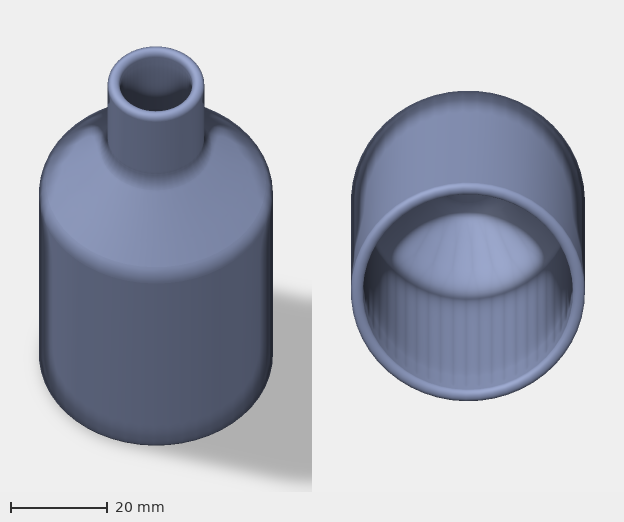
import cadquery as cq
import math

total_height = 89.1
body_radius = 48.3 / 2
neck_radius = 20.0 / 2
wall = 2.5
bend_radius = 5.0
shoulder_start = 52.9
cone_angle = math.radians(45)

rim_radius = wall / 2
bend_width = bend_radius * (1 - math.cos(cone_angle))
bend_height = bend_radius * math.sin(cone_angle)
cone_width = body_radius - neck_radius - 2 * bend_width
cone_height = cone_width / math.tan(cone_angle)
neck_start = shoulder_start + cone_height + 2 * bend_height

shoulder_center = (body_radius - bend_radius, shoulder_start)
neck_center = (neck_radius + bend_radius, neck_start)


def on_arc(center, radius, angle):
    """Point on an arc; a negative radius lies on the opposite side of the centre."""
    return (center[0] + radius * math.cos(angle), center[1] + radius * math.sin(angle))


def shoulder_point(depth, angle):
    """Point on the shoulder bend at the given depth below the outer skin."""
    return on_arc(shoulder_center, bend_radius - depth, angle)


def neck_point(depth, angle):
    """Point on the neck bend at the given depth below the outer skin."""
    return on_arc(neck_center, -(bend_radius + depth), angle)


half_angle = cone_angle / 2

profile = (
    cq.Workplane("XZ")
    .moveTo(body_radius, rim_radius)
    .lineTo(*shoulder_point(0, 0))
    .threePointArc(shoulder_point(0, half_angle), shoulder_point(0, cone_angle))
    .lineTo(*neck_point(0, cone_angle))
    .threePointArc(neck_point(0, half_angle), neck_point(0, 0))
    .lineTo(neck_radius, total_height - rim_radius)
    .threePointArc(
        (neck_radius - rim_radius, total_height),
        (neck_radius - wall, total_height - rim_radius),
    )
    .lineTo(*neck_point(wall, 0))
    .threePointArc(neck_point(wall, half_angle), neck_point(wall, cone_angle))
    .lineTo(*shoulder_point(wall, cone_angle))
    .threePointArc(shoulder_point(wall, half_angle), shoulder_point(wall, 0))
    .lineTo(body_radius - wall, rim_radius)
    .threePointArc((body_radius - rim_radius, 0), (body_radius, rim_radius))
    .close()
)

result = profile.revolve(360, (0, 0, 0), (0, 1, 0))